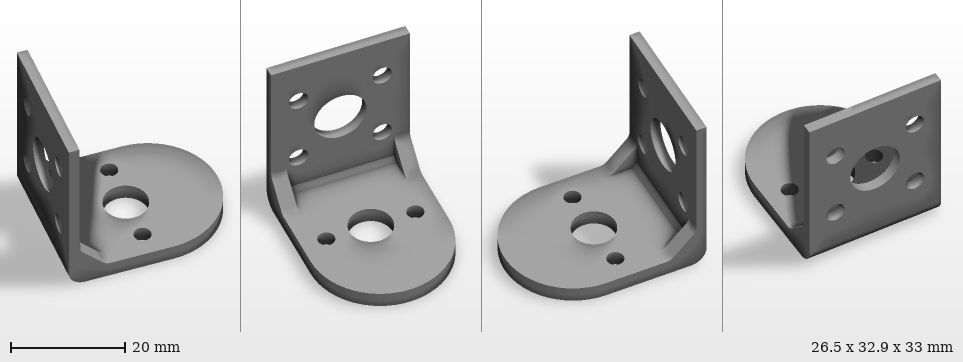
import cadquery as cq

width = 26.5
height = 33.0
base_thickness = 3.0
wall_thickness = 2.0
outer_bend_radius = 3.0

round_end_radius = width / 2
round_end_center_y = 19.6
depth = round_end_center_y + round_end_radius

strip_width = 3.0
center_width = width - 2 * strip_width
strip_offset = (center_width + strip_width) / 2

center_chamfer = 1.0
gusset_leg = 5.0
gusset_blend_radius = 2.0

shaft_hole_diameter = 8.2
base_screw_diameter = 3.2
base_screw_offset = 8.5
base_holes_y = 15.5

wall_hole_diameter = 10.0
wall_screw_diameter = 3.7
wall_screw_offset_x = 8.0
wall_screw_offset_z = 7.0
wall_holes_z = 17.6


def l_profile_strip(length_x, center_x):
    """Sharp-cornered L with its outer bend rounded, centered on center_x."""
    strip = (
        cq.Workplane("YZ", origin=(center_x, 0, 0))
        .polyline([
            (0, 0),
            (depth, 0),
            (depth, base_thickness),
            (wall_thickness, base_thickness),
            (wall_thickness, height),
            (0, height),
        ])
        .close()
        .extrude(length_x / 2, both=True)
    )
    return strip.edges(edge_at(center_x, 0, 0)).fillet(outer_bend_radius)


def edge_at(x, y, z):
    """Select the edge whose middle is nearest to a point."""
    return cq.NearestToPointSelector((x, y, z))


def round_base_end(strip):
    """Trim a strip to the outline with the half-round end."""
    outline = (
        cq.Workplane("XY")
        .moveTo(-width / 2, 0)
        .lineTo(width / 2, 0)
        .lineTo(width / 2, round_end_center_y)
        .threePointArc((0, depth), (-width / 2, round_end_center_y))
        .close()
        .extrude(height)
    )
    return strip.intersect(outline)


def base_holes(diameter, x_positions):
    """Vertical cutters through the base."""
    return (
        cq.Workplane("XY")
        .pushPoints([(x, base_holes_y) for x in x_positions])
        .circle(diameter / 2)
        .extrude(base_thickness)
    )


def wall_holes(diameter, points):
    """Cutters through the wall at (x, z) points measured from the wall hole center."""
    return (
        cq.Workplane("XZ", origin=(0, 0, wall_holes_z))
        .pushPoints(points)
        .circle(diameter / 2)
        .extrude(-wall_thickness)
    )


def make_center_strip():
    """Center strip with a small inside chamfer and all the holes."""
    strip = l_profile_strip(center_width, 0)
    strip = strip.edges(edge_at(0, wall_thickness, base_thickness)).chamfer(center_chamfer)
    strip = round_base_end(strip)

    wall_screws = [
        (side * wall_screw_offset_x, level * wall_screw_offset_z)
        for side in (-1, 1)
        for level in (-1, 1)
    ]
    return (
        strip
        .cut(base_holes(shaft_hole_diameter, [0]))
        .cut(base_holes(base_screw_diameter, [-base_screw_offset, base_screw_offset]))
        .cut(wall_holes(wall_hole_diameter, [(0, 0)]))
        .cut(wall_holes(wall_screw_diameter, wall_screws))
    )


def make_side_strip(side):
    """Side strip with a 45 degree gusset blended into base and wall."""
    center_x = side * strip_offset
    gusset_front = wall_thickness + gusset_leg
    gusset_top = base_thickness + gusset_leg
    gusset = (
        cq.Workplane("YZ", origin=(center_x, 0, 0))
        .polyline([
            (wall_thickness, base_thickness),
            (gusset_front, base_thickness),
            (wall_thickness, gusset_top),
        ])
        .close()
        .extrude(strip_width / 2, both=True)
    )
    strip = l_profile_strip(strip_width, center_x).union(gusset)
    for y, z in [(gusset_front, base_thickness), (wall_thickness, gusset_top)]:
        strip = strip.edges(edge_at(center_x, y, z)).fillet(gusset_blend_radius)
    return round_base_end(strip)


center_strip = make_center_strip()
side_strips = [make_side_strip(side) for side in (-1, 1)]

result = cq.Compound.makeCompound([
    center_strip.val(),
    *[strip.val() for strip in side_strips],
])